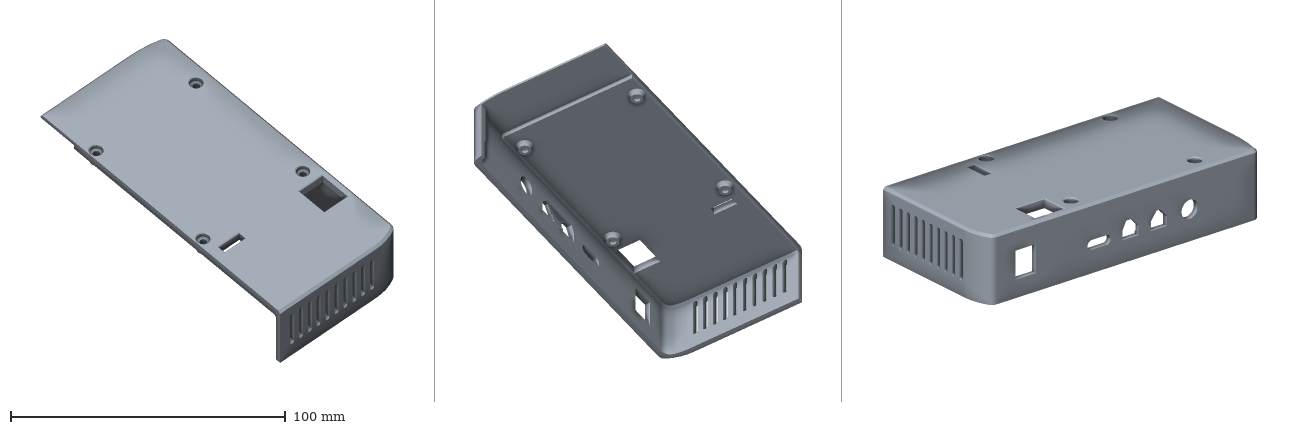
import cadquery as cq
import math

LENGTH = 129.9
DEPTH = 59.2
HEIGHT = 27.8
TOP_CHAMFER = 1.0

LEFT_SWEEP_RADIUS = 54.5
LEFT_SWEEP_START = 43.6
OUTER_LEFT_BEND = (LEFT_SWEEP_RADIUS, LEFT_SWEEP_START, 2.7)
OUTER_RIGHT_BEND = (21.8, 47.3, 3.0)

WALL = 2.3
PLATE = 3.9
CAVITY_LEFT_BEND = (LEFT_SWEEP_RADIUS - WALL, LEFT_SWEEP_START, 2.9)
CAVITY_RIGHT_BEND = (28.6, 47.5, 4.2)
CAVITY_CHAMFER = 0.8
OVERRUN = 6.5

LIP_THICKNESS = 2.0
LIP_LENGTH = 18.2
LEFT_WALL_END = 54.3

NOTCH_START = 3.0
NOTCH_WIDTH = 1.4
NOTCH_BACK = 55.9
NOTCH_HEIGHT = 9.1

SCREW_X = (26.5, 84.4)
SCREW_Y = (3.4, 52.3)
SCREW_HOLE = 2.7
HEAD_HOLE = 5.2
HEAD_CHAMFER = 0.4
POST_DIAMETER = 5.0
POST_BOTTOM = 21.8
HEAD_FLOOR = 25.7

PLATE_OPENINGS = ((97.5, 50.5, 13.5, 11.4), (92.9, 9.9, 3.2, 10.1))
OPENING_CHAMFER = 0.4

JACK_X = 34.4
JACK_Z = 12.7
JACK_DIAMETER = 7.5
USB_X = 76.8
USB_Z = 11.3
USB_LENGTH = 10.8
USB_HEIGHT = 3.9
SOCKET_X = 111.0
SOCKET_Z = 13.1
SOCKET_WIDTH = 9.6
SOCKET_HEIGHT = 11.5

PORT_BOTTOM = 9.1
PORT_SHOULDER = 13.0
PORT_TOP = 16.5
PORT_WIDTH = 7.5
PORT_LEFT_X = 45.0
PORT_RIGHT_X = 58.3
PORT_LEFT_ROOF = (48.3, 49.9)
PORT_RIGHT_ROOF = (61.7, 64.0)
RECESS_BOTTOM = 10.1
RECESS_DEPTH = 1.0
STRIP_DEPTH = 0.5

VENT_COUNT = 10
VENT_FIRST_Y = 5.8
VENT_LAST_Y = 45.1
VENT_PITCH = (VENT_LAST_Y - VENT_FIRST_Y) / (VENT_COUNT - 1)
VENT_WIDTH = 2.0
VENT_BOTTOM = 6.2
VENT_TOP = 22.6


def side_bend(side_x, toward, bend, back_y):
    """Points of a tangent sweep and corner arc, from the straight side to the back edge."""
    sweep_radius, sweep_start, corner_radius = bend
    sweep_x = side_x - toward * sweep_radius
    corner_y = back_y - corner_radius
    angle = math.asin((corner_y - sweep_start) / (sweep_radius - corner_radius))
    corner_x = sweep_x + toward * (sweep_radius - corner_radius) * math.cos(angle)

    def on_sweep(a):
        return (sweep_x + toward * sweep_radius * math.cos(a), sweep_start + sweep_radius * math.sin(a))

    def on_corner(a):
        return (corner_x + toward * corner_radius * math.cos(a), corner_y + corner_radius * math.sin(a))

    corner_middle = (angle + math.pi / 2) / 2
    return (
        (side_x, sweep_start),
        on_sweep(angle / 2),
        on_sweep(angle),
        on_corner(corner_middle),
        (corner_x, back_y),
    )


def plan_shape(inset, front_y, left_bend, right_bend, height):
    """Solid with the plan outline, inset from the outer sides and back."""
    back_y = DEPTH - inset
    left = side_bend(inset, -1, left_bend, back_y)
    right = side_bend(LENGTH - inset, 1, right_bend, back_y)
    return (
        cq.Workplane("XY")
        .moveTo(inset, front_y)
        .lineTo(LENGTH - inset, front_y)
        .lineTo(*right[0])
        .threePointArc(right[1], right[2])
        .threePointArc(right[3], right[4])
        .lineTo(*left[4])
        .threePointArc(left[3], left[2])
        .threePointArc(left[1], left[0])
        .close()
        .extrude(height)
    )


def block(x0, x1, y0, y1, z0, z1):
    return cq.Workplane("XY").box(x1 - x0, y1 - y0, z1 - z0, centered=False).translate((x0, y0, z0))


def cavity(height):
    return plan_shape(WALL, -OVERRUN, CAVITY_LEFT_BEND, CAVITY_RIGHT_BEND, height)


def shell():
    body = plan_shape(0, 0, OUTER_LEFT_BEND, OUTER_RIGHT_BEND, HEIGHT)
    body = body.faces(">Z").edges("not(<Y)").chamfer(TOP_CHAMFER)
    lip_bottom = HEIGHT - LIP_THICKNESS
    main_cavity = cavity(HEIGHT - PLATE).faces(">Z").edges().chamfer(CAVITY_CHAMFER)
    left_end = block(-OVERRUN, LIP_LENGTH, -OVERRUN, DEPTH, 0, HEIGHT)
    left_opening = block(-OVERRUN, LIP_LENGTH, -OVERRUN, LEFT_WALL_END, 0, lip_bottom)
    body = body.cut(main_cavity.cut(left_end))
    body = body.cut(cavity(lip_bottom).intersect(left_end))
    return body.cut(left_opening)


def stub_notch():
    return block(NOTCH_START, NOTCH_START + NOTCH_WIDTH, 0, NOTCH_BACK, 0, NOTCH_HEIGHT)


def cylinder(x, y, z0, z1, diameter):
    return cq.Workplane("XY", origin=(x, y, z0)).circle(diameter / 2).extrude(z1 - z0)


def cone(x, y, z0, z1, diameter0, diameter1):
    return (
        cq.Workplane("XY", origin=(x, y, z0))
        .circle(diameter0 / 2)
        .workplane(offset=z1 - z0)
        .circle(diameter1 / 2)
        .loft()
    )


def add_screw_posts(body):
    """Posts flaring into the plate underside, each with a screw hole and a flared head hole."""
    plate_bottom = HEIGHT - PLATE
    root_diameter = POST_DIAMETER + 2 * CAVITY_CHAMFER
    head_rim = HEAD_HOLE + 2 * HEAD_CHAMFER
    inside = block(0, LENGTH, 0, DEPTH, 0, HEIGHT)
    for x in SCREW_X:
        for y in SCREW_Y:
            post = cylinder(x, y, POST_BOTTOM, plate_bottom, POST_DIAMETER)
            root = cone(x, y, plate_bottom - CAVITY_CHAMFER, plate_bottom, POST_DIAMETER, root_diameter)
            body = body.union(post.union(root).intersect(inside))
            body = body.cut(cylinder(x, y, HEAD_FLOOR, HEIGHT, HEAD_HOLE))
            body = body.cut(cone(x, y, HEIGHT - HEAD_CHAMFER, HEIGHT, HEAD_HOLE, head_rim))
            body = body.cut(cylinder(x, y, POST_BOTTOM, HEIGHT, SCREW_HOLE))
    return body


def plate_opening(x, y, width, depth):
    hole = cq.Workplane("XY", origin=(x, y, HEIGHT - PLATE - CAVITY_CHAMFER)).rect(width, depth)
    flare = (
        cq.Workplane("XY", origin=(x, y, HEIGHT))
        .rect(width + 2 * OPENING_CHAMFER, depth + 2 * OPENING_CHAMFER)
        .extrude(-OPENING_CHAMFER, taper=45)
    )
    return hole.extrude(PLATE + CAVITY_CHAMFER).union(flare)


def back_sketch(x=0, z=0):
    """Workplane on the outer back face, with local axes along X and Z."""
    return cq.Workplane("XZ", origin=(x, DEPTH, z))


def through_back(sketch):
    return sketch.extrude(2 * WALL)


def port_outline(left_x, roof):
    right_x = left_x + PORT_WIDTH
    corners = [
        (left_x, PORT_BOTTOM),
        (right_x, PORT_BOTTOM),
        (right_x, PORT_SHOULDER),
        (roof[1], PORT_TOP),
        (roof[0], PORT_TOP),
        (left_x, PORT_SHOULDER),
    ]
    return back_sketch().polyline(corners).close()


def port_recess():
    """Stepped recess on the inner face between the two video ports."""
    web_left = PORT_LEFT_X + PORT_WIDTH
    inner_y = DEPTH - WALL
    corners = [
        (web_left, PORT_SHOULDER),
        (PORT_RIGHT_X, PORT_SHOULDER),
        (PORT_RIGHT_ROOF[0], PORT_TOP),
        (PORT_LEFT_ROOF[1], PORT_TOP),
    ]
    trapezoid = back_sketch().workplane(offset=WALL).polyline(corners).close().extrude(-RECESS_DEPTH)
    strip = block(
        web_left, PORT_RIGHT_X, inner_y, inner_y + STRIP_DEPTH, RECESS_BOTTOM, PORT_SHOULDER
    )
    return trapezoid.union(strip)


def back_ports():
    jack = through_back(back_sketch(JACK_X, JACK_Z).circle(JACK_DIAMETER / 2))
    usb = through_back(back_sketch(USB_X, USB_Z).slot2D(USB_LENGTH, USB_HEIGHT))
    socket = through_back(back_sketch(SOCKET_X, SOCKET_Z).rect(SOCKET_WIDTH, SOCKET_HEIGHT))
    left_port = through_back(port_outline(PORT_LEFT_X, PORT_LEFT_ROOF))
    right_port = through_back(port_outline(PORT_RIGHT_X, PORT_RIGHT_ROOF))
    return jack.union(usb).union(socket).union(left_port).union(right_port).union(port_recess())


def vent_slots():
    places = [(VENT_FIRST_Y + i * VENT_PITCH, 0) for i in range(VENT_COUNT)]
    middle_z = (VENT_BOTTOM + VENT_TOP) / 2
    return (
        cq.Workplane("YZ", origin=(LENGTH - 2 * WALL, 0, middle_z))
        .pushPoints(places)
        .slot2D(VENT_TOP - VENT_BOTTOM, VENT_WIDTH, 90)
        .extrude(2 * WALL)
    )


result = shell().cut(stub_notch())
result = add_screw_posts(result)
for opening in PLATE_OPENINGS:
    result = result.cut(plate_opening(*opening))
result = result.cut(back_ports()).cut(vent_slots()).solids()